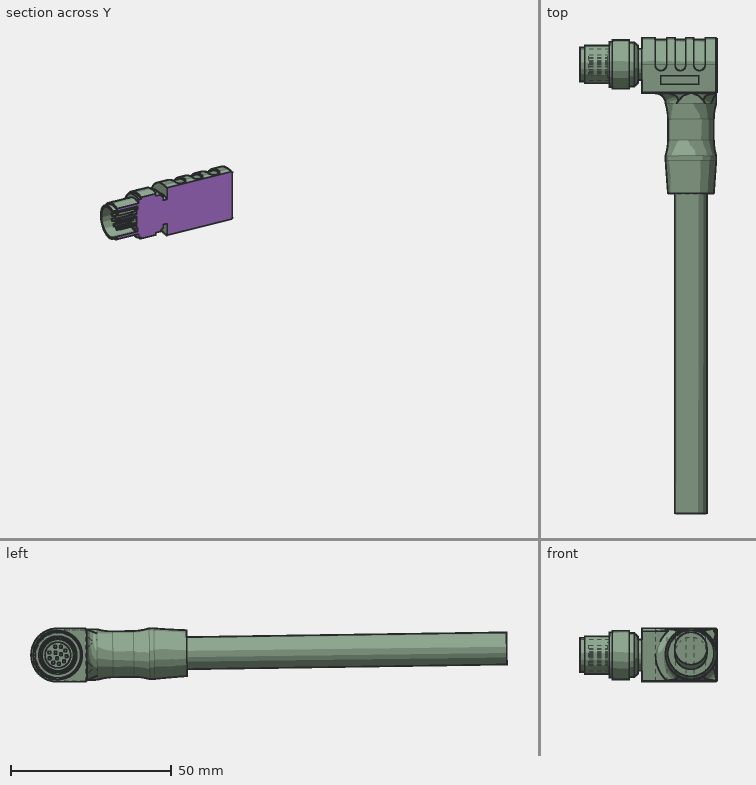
import cadquery as cq
import math


block_height = 16.8
block_radius = block_height / 2
block_start_x = -15.3
block_end_x = 8.2
block_front_y = -9.0
front_chamfer_y = 0.5
top_chamfer_z = 0.9
bottom_chamfer_z = 0.5
end_chamfer = 0.5
block_length = block_end_x - block_start_x

grooves = ((-9.4, 3.5), (-3.3, 3.3), (2.7, 3.5))
groove_end_y = -2.0
groove_depth = 0.6

label_length = 11.9
label_width = 2.7
label_depth = 0.5
label_centre_x = -3.4
label_centre_y = -4.9

tip_x = -34.6
plug_steps = (
    (10.8, 1.5),
    (11.9, 9.2),
    (14.3, 10.1),
    (15.3, 15.5),
    (13.8, 17.0),
)
nut_taper_end_x = tip_x + 18.1
nut_taper_end_radius = 5.8
neck_radius = 4.9

bore_radius = 4.9
bore_depth = 8.9
insert_radius = 4.0
insert_height = 0.5
pin_radius = 0.5
pin_length = 6.0
key_angle = 45
outer_pin_count = 9
outer_pin_circle_diameter = 5.5
outer_pin_spacing = 38
inner_pin_count = 3
inner_pin_circle_diameter = 2.1

relief_diameter = 15.9
waist_diameter = 14.4
relief_radius = relief_diameter / 2
waist_radius = waist_diameter / 2
waist_start = 17.1
waist_end = 23.6
bulge_start = 28.5
bulge_end = 30.0
relief_end = 40.2

flare_end = 12.2
flare_inset = 0.5
flare_slope_drop = 1.3
flare_overlap = 0.7

cable_tilt = 0.85
cable_radius = 5.0
overall_length = 148.5
cable_end_y = block_radius - overall_length


def cylinder_along_x(start_x, radius, length):
    return cq.Workplane("YZ", origin=(start_x, 0, 0)).circle(radius).extrude(length)


def tilt(body):
    """Turn a body about X so that its -Y end rises."""
    return body.rotate((0, 0, 0), (1, 0, 0), -cable_tilt)


def make_block():
    """Box with a half-round back and bevels along the front and around the far end."""
    bevel_y = block_front_y + front_chamfer_y
    return (
        cq.Workplane("YZ", origin=(block_start_x, 0, 0))
        .moveTo(bevel_y, -block_radius)
        .lineTo(0, -block_radius)
        .threePointArc((block_radius, 0), (0, block_radius))
        .lineTo(bevel_y, block_radius)
        .lineTo(block_front_y, block_radius - top_chamfer_z)
        .lineTo(block_front_y, bottom_chamfer_z - block_radius)
        .close()
        .extrude(block_length)
        .faces(">X")
        .chamfer(end_chamfer)
    )


def make_groove_cutter():
    """Round-ended slots wrapped over the block, open toward the back and of even depth."""
    core_radius = block_radius - groove_depth
    core = cylinder_along_x(block_start_x, core_radius, block_length).union(
        cq.Workplane("XY")
        .box(block_length, -block_front_y, 2 * core_radius)
        .translate((block_start_x + block_length / 2, block_front_y / 2, 0))
    )
    slots = cq.Workplane("XY")
    for centre_x, width in grooves:
        round_y = groove_end_y + width / 2
        slots = slots.union(
            cq.Workplane("XY", origin=(centre_x, 0, -block_radius))
            .moveTo(-width / 2, block_radius)
            .lineTo(-width / 2, round_y)
            .threePointArc((0, groove_end_y), (width / 2, round_y))
            .lineTo(width / 2, block_radius)
            .close()
            .extrude(2 * block_radius)
        )
    return slots.cut(core)


def make_label_cutter():
    return (
        cq.Workplane("XY", origin=(label_centre_x, label_centre_y, block_radius - label_depth))
        .rect(label_length, label_width)
        .extrude(label_depth)
    )


def make_plug():
    """Stepped plug and nut turned about X, with the tapered rear of the nut and the neck."""
    profile = cq.Workplane("XY").moveTo(tip_x, 0)
    step_x = tip_x
    for diameter, end_distance in plug_steps:
        profile = profile.lineTo(step_x, diameter / 2)
        step_x = tip_x + end_distance
        profile = profile.lineTo(step_x, diameter / 2)
    return (
        profile.lineTo(nut_taper_end_x, nut_taper_end_radius)
        .lineTo(nut_taper_end_x, neck_radius)
        .lineTo(block_start_x, neck_radius)
        .lineTo(block_start_x, 0)
        .close()
        .revolve(360, (0, 0, 0), (1, 0, 0))
    )


def make_pin_insert():
    """Raised insert on the socket floor with an outer and an inner ring of pins."""
    floor_x = tip_x + bore_depth
    face_x = floor_x - insert_height
    key_gap = 360 - (outer_pin_count - 1) * outer_pin_spacing
    outer_angles = [key_angle + key_gap / 2 + i * outer_pin_spacing for i in range(outer_pin_count)]
    inner_angles = [key_angle + i * 360 / inner_pin_count for i in range(inner_pin_count)]
    centres = []
    rings = ((outer_pin_circle_diameter, outer_angles), (inner_pin_circle_diameter, inner_angles))
    for diameter, angles in rings:
        for angle in angles:
            turn = math.radians(angle)
            centres.append((diameter / 2 * math.cos(turn), diameter / 2 * math.sin(turn)))
    pins = (
        cq.Workplane("YZ", origin=(face_x - pin_length, 0, 0))
        .pushPoints(centres)
        .circle(pin_radius)
        .extrude(pin_length + insert_height)
    )
    return cylinder_along_x(face_x, insert_radius, insert_height).union(pins)


def waist_arc_middle_radius(span):
    """Radius halfway along an arc that leaves the waist tangentially and reaches the full radius."""
    rise = relief_radius - waist_radius
    arc_radius = (span**2 + rise**2) / (2 * rise)
    return waist_radius + arc_radius - math.sqrt(arc_radius**2 - (span / 2) ** 2)


def make_relief():
    """Waisted grip turned about the cable axis, ending in a taper."""
    front_middle = (waist_arc_middle_radius(waist_start - flare_end), -(flare_end + waist_start) / 2)
    rear_middle = (waist_arc_middle_radius(bulge_start - waist_end), -(waist_end + bulge_start) / 2)
    return (
        cq.Workplane("XY")
        .lineTo(relief_radius, 0)
        .lineTo(relief_radius, -flare_end)
        .threePointArc(front_middle, (waist_radius, -waist_start))
        .lineTo(waist_radius, -waist_end)
        .threePointArc(rear_middle, (relief_radius, -bulge_start))
        .lineTo(relief_radius, -bulge_end)
        .lineTo(waist_radius, -relief_end)
        .lineTo(0, -relief_end)
        .close()
        .revolve(360, (0, 0, 0), (0, 1, 0))
    )


def make_flare():
    """Concave quarter-round collar, trimmed by planes at the top, the bottom and the far end."""
    size = flare_end + block_front_y
    root_y = block_front_y + flare_overlap
    middle_offset = size * (1 - math.sqrt(0.5))
    collar = (
        cq.Workplane("XY")
        .moveTo(0, root_y)
        .lineTo(relief_radius + size, root_y)
        .lineTo(relief_radius + size, block_front_y)
        .threePointArc(
            (relief_radius + middle_offset, block_front_y - middle_offset),
            (relief_radius, -flare_end),
        )
        .lineTo(0, -flare_end)
        .close()
        .revolve(360, (0, 0, 0), (0, 1, 0))
    )
    near_z = block_radius - flare_inset
    far_z = near_z - flare_slope_drop
    near_x = block_end_x - flare_inset
    far_x = near_x - flare_slope_drop
    height_limit = (
        cq.Workplane("YZ", origin=(block_start_x, 0, 0))
        .moveTo(root_y, -near_z)
        .lineTo(root_y, near_z)
        .lineTo(block_front_y, near_z)
        .lineTo(-flare_end, far_z)
        .lineTo(-flare_end, -far_z)
        .lineTo(block_front_y, -near_z)
        .close()
        .extrude(block_length)
    )
    end_limit = (
        cq.Workplane("XY", origin=(0, 0, -block_radius))
        .moveTo(block_start_x, root_y)
        .lineTo(near_x, root_y)
        .lineTo(near_x, block_front_y)
        .lineTo(far_x, -flare_end)
        .lineTo(block_start_x, -flare_end)
        .close()
        .extrude(2 * block_radius)
    )
    return collar.intersect(height_limit).intersect(end_limit)


def make_cable():
    """Round cable whose tilted end just reaches the end position."""
    tilt_angle = math.radians(cable_tilt)
    length = (-cable_end_y - cable_radius * math.sin(tilt_angle)) / math.cos(tilt_angle)
    return cq.Workplane("XZ").circle(cable_radius).extrude(length)


plug = make_plug().cut(cylinder_along_x(tip_x, bore_radius, bore_depth)).union(make_pin_insert())
cable_branch = tilt(make_relief().union(make_flare()).union(make_cable()))
housing = make_block().union(cable_branch)
housing = housing.cut(make_groove_cutter()).cut(make_label_cutter())
result = housing.union(plug)